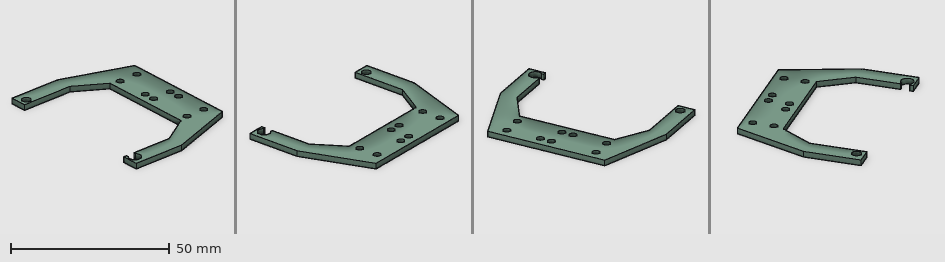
import cadquery as cq

width = 59.5
depth = 44.0
thickness = 2.0
top_edge_width = 42.0
leg_width = 6.0
shoulder_height = 19.1
bridge_depth = 14.0
inner_edge_width = 34.05

mount_diameter = 2.5
mount_half_span = 16.0
mount_pair_pitch = 4.0
upper_row_inset = 3.5
lower_row_inset = 10.55

pivot_edge_inset = 3.75
pivot_height = 2.75
pivot_diameter = 3.1
socket_diameter = 4.2
socket_mouth = 3.0

half_width = width / 2
inner_half_width = half_width - leg_width
pivot_x = half_width - pivot_edge_inset


def make_plate():
    """Arched plate with two straight legs and sloping shoulders."""
    right_half = [
        (top_edge_width / 2, depth),
        (half_width, shoulder_height),
        (half_width, 0),
        (inner_half_width, 0),
        (inner_half_width, shoulder_height),
        (inner_edge_width / 2, depth - bridge_depth),
    ]
    left_half = [(-x, y) for x, y in reversed(right_half)]
    return cq.Workplane("XY").polyline(right_half + left_half).close().extrude(thickness)


def round_cutters(points, diameter):
    """Cylinders through the plate at the given points."""
    return cq.Workplane("XY").pushPoints(points).circle(diameter / 2).extrude(thickness)


def make_mount_cutters():
    """Two rows of holes; the extra hole sits on opposite sides of centre."""
    upper_y = depth - upper_row_inset
    lower_y = depth - lower_row_inset
    points = []
    for y, extra_x in ((upper_y, mount_pair_pitch), (lower_y, -mount_pair_pitch)):
        for x in (-mount_half_span, 0, extra_x, mount_half_span):
            points.append((x, y))
    return round_cutters(points, mount_diameter)


def make_socket_cutter():
    """Round socket with a narrower mouth through the leg's inner edge."""
    mouth_length = pivot_x - inner_half_width
    mouth = (
        cq.Workplane("XY")
        .center(inner_half_width + mouth_length / 2, pivot_height)
        .rect(mouth_length, socket_mouth)
        .extrude(thickness)
    )
    return round_cutters([(pivot_x, pivot_height)], socket_diameter).union(mouth)


result = (
    make_plate()
    .cut(make_mount_cutters())
    .cut(round_cutters([(-pivot_x, pivot_height)], pivot_diameter))
    .cut(make_socket_cutter())
)